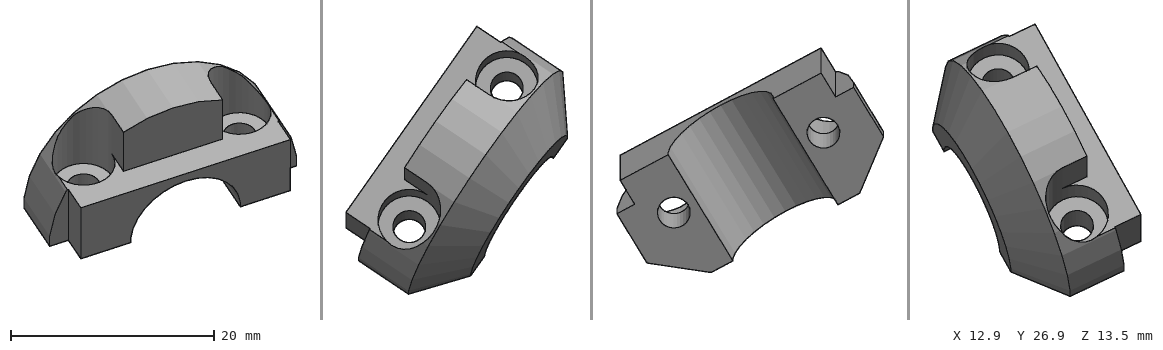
import cadquery as cq
import math

FACETS = 30
TOTAL_WIDTH = 26.85
CONE_LENGTH = 4.0
RIM_LENGTH = 6.0
BLOCK_OVERHANG = 2.9
CONE_TIP_RADIUS = 8.48
BORE_RADIUS = 6.0

BLOCK_WIDTH = 22.8
BLOCK_HEIGHT = 7.0

SCREW_X = 7.3
SCREW_Y = 8.48
SCREW_HOLE_RADIUS = 1.6
HEAD_RADIUS = 3.1
HEAD_SEAT_Z = 4.0

half_facet_angle = math.pi / FACETS
rim_radius = TOTAL_WIDTH / 2 / math.cos(half_facet_angle)
rim_end_x = CONE_LENGTH + RIM_LENGTH
total_length = rim_end_x + BLOCK_OVERHANG


def polygon_points(radius):
    """Corners of a regular polygon with one corner straight up."""
    corners = []
    for i in range(FACETS):
        angle = math.pi / 2 + 2 * half_facet_angle * i
        corners.append((radius * math.cos(angle), radius * math.sin(angle)))
    return corners


def polygon_along_x(x, radius):
    """Polygon outline in the plane at x, ready to extrude towards +X."""
    return cq.Workplane("YZ", origin=(x, 0, 0)).polyline(polygon_points(radius)).close()


def polygon_prism_up(x, y, z, radius, height):
    """Upright faceted prism standing at (x, y, z)."""
    base = cq.Workplane("XY", origin=(x, y, z))
    return base.polyline(polygon_points(radius)).close().extrude(height)


def box(length, width, height, x, y, z):
    """Box starting at x and z, centred on y."""
    return cq.Workplane("XY").box(length, width, height, centered=(False, True, False)).translate((x, y, z))


def make_ring():
    """Cone and rim joined end to end."""
    cone = (
        polygon_along_x(0, CONE_TIP_RADIUS)
        .workplane(offset=CONE_LENGTH)
        .polyline(polygon_points(rim_radius))
        .close()
        .loft(ruled=True)
    )
    rim = polygon_along_x(CONE_LENGTH, rim_radius).extrude(RIM_LENGTH)
    return cone.union(rim)


def screw_cutter(y):
    """Through hole, head recess, and the open slot from the head to the +X end."""
    hole = polygon_prism_up(SCREW_X, y, 0, SCREW_HOLE_RADIUS, rim_radius)
    recess = polygon_prism_up(SCREW_X, y, HEAD_SEAT_Z, HEAD_RADIUS, rim_radius)
    slot = box(total_length - SCREW_X, 2 * HEAD_RADIUS, rim_radius, SCREW_X, y, BLOCK_HEIGHT)
    return hole.union(recess).union(slot)


upper_half = box(total_length, TOTAL_WIDTH, rim_radius, 0, 0, 0)
body = make_ring().intersect(upper_half)

body = body.union(box(total_length - SCREW_X, BLOCK_WIDTH, BLOCK_HEIGHT, SCREW_X, 0, 0))

body = body.cut(polygon_along_x(0, BORE_RADIUS).extrude(total_length))

for side in (-1, 1):
    body = body.cut(screw_cutter(side * SCREW_Y))

result = body